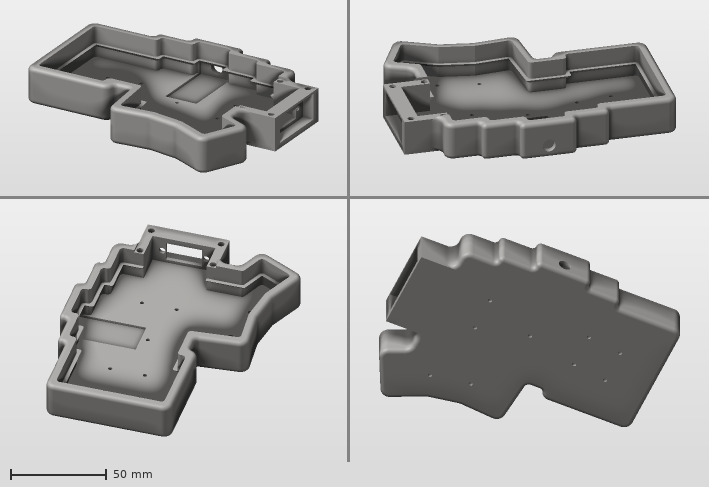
import cadquery as cq
import math

length = 145.4
height = 20.6
ledge_width = 2.0
rim_width = 5.0
wall = ledge_width + rim_width
floor_z = 3.0
ledge_z = 11.0
edge_round = 2.3

large_radius = 5.0
step_outer_radius = 2.5
step_inner_radius = 2.0
notch_radius = 2.5
rim_radius = ledge_width
shelf_inner_radius = 1.3
slight_bend = math.radians(20)

key_pitch = 19.0
screw_diameter = 2.2
insert_diameter = 3.6
insert_depth = 7.3

cavity_right = 112.0
row_y = 55.2
step_y = 59.9
tab_y = 64.8
notch_y = 5.0
notch_x = 35.9
tab_left = 3 * key_pitch
tab_right = 73.8
step_left = 2 * key_pitch
step_right = 93.3

cavity_corners = [
    (0, 0, large_radius),
    (0, row_y, large_radius),
    (step_left, row_y, step_inner_radius),
    (step_left, step_y, step_outer_radius),
    (tab_left, step_y, step_inner_radius),
    (tab_left, tab_y, step_outer_radius),
    (tab_right, tab_y, step_outer_radius),
    (tab_right, step_y, step_inner_radius),
    (step_right, step_y, step_outer_radius),
    (step_right, row_y, step_inner_radius),
    (cavity_right, row_y, large_radius),
    (cavity_right, -11.3, large_radius),
    (124.7, -17.2, large_radius),
    (117.2, -32.4, large_radius),
    (100.6, -24.5, large_radius),
    (81.3, -21.2, large_radius),
    (63.0, -22.7, large_radius),
    (60.5, notch_y, notch_radius),
    (notch_x, notch_y, notch_radius),
    (notch_x, 0, large_radius),
]
cavity_points = [(x, y) for x, y, _ in cavity_corners]
outer_radii = [radius for _, _, radius in cavity_corners]
block_root_index = 11
notch_index = 18
notch_bend_x = 43.2
notch_slope = math.radians(70)

block_left = cavity_right + ledge_width
block_right = length - wall
block_front = 4.8
block_back = 49.9
block_height = 19.2
block_middle_y = (block_front + block_back) / 2
flare_radius = 4.8
pocket_width = 34.6
pocket_right = 130.0
block_inserts = [(116.6, 20.0), (134.0, 19.2)]

window_width = 19.8
window_bottom = 5.0
window_top = 16.0
window_z = (window_bottom + window_top) / 2
window_wall = 2.0
flange_screw_offset = 12.0

recess_depth = 1.5
recess_front = 31.3
bay_wall = 3.2
bay_back = tab_y + wall - bay_wall
cable_hole_diameter = 7.0
cable_hole_z = 7.0
middle_x = (tab_left + tab_right) / 2
screw_points = [
    (17.9, 36.9), (17.9, 36.9 - key_pitch),
    (36.9, 39.4), (36.9, 39.4 - key_pitch),
    (94.0, 39.4), (94.0, 39.4 - key_pitch),
    (middle_x, 27.5), (81.3, -13.4), (103.0, -17.2),
]


def turn(points, i):
    """Signed turn at corner i, negative where a clockwise outline is convex."""
    before, corner, after = points[i - 1], points[i], points[(i + 1) % len(points)]
    heading_in = math.atan2(corner[1] - before[1], corner[0] - before[0])
    heading_out = math.atan2(after[1] - corner[1], after[0] - corner[0])
    return math.remainder(heading_out - heading_in, 2 * math.pi)


def offset_points(points, distance):
    """Move every side of a clockwise outline outward, keeping sharp corners."""
    moved = []
    for i, (x, y) in enumerate(points):
        before = points[i - 1]
        half_turn = turn(points, i) / 2
        outward = math.atan2(y - before[1], x - before[0]) + math.pi / 2 + half_turn
        reach = distance / math.cos(half_turn)
        moved.append((x + reach * math.cos(outward), y + reach * math.sin(outward)))
    return moved


def rounded_outline(points, radii, base_z):
    """Closed wire through the points with each corner rounded by its own radius."""
    path = cq.Workplane("XY").workplane(offset=base_z)
    started = False
    for i, (x, y) in enumerate(points):
        before, after = points[i - 1], points[(i + 1) % len(points)]
        bend = turn(points, i)
        setback = radii[i] * math.tan(abs(bend) / 2)
        heading_in = math.atan2(y - before[1], x - before[0])
        heading_out = math.atan2(after[1] - y, after[0] - x)
        arc_start = (x - setback * math.cos(heading_in), y - setback * math.sin(heading_in))
        arc_end = (x + setback * math.cos(heading_out), y + setback * math.sin(heading_out))
        path = path.lineTo(*arc_start) if started else path.moveTo(*arc_start)
        started = True
        if radii[i] > 0:
            bulge = radii[i] * (1 / math.cos(bend / 2) - 1)
            toward_center = heading_in + bend / 2 + math.copysign(math.pi / 2, bend)
            arc_middle = (x + bulge * math.cos(toward_center), y + bulge * math.sin(toward_center))
            path = path.threePointArc(arc_middle, arc_end)
    return path.close()


def box(x_range, y_range, z_range):
    sizes = [high - low for low, high in (x_range, y_range, z_range)]
    corner = (x_range[0], y_range[0], z_range[0])
    return cq.Workplane("XY").box(*sizes, centered=False).translate(corner)


def outer_body():
    points = offset_points(cavity_points, wall)
    radii = list(outer_radii)
    lean = notch_y / math.tan(notch_slope)
    points[notch_index] = (notch_bend_x + lean, notch_y - wall)
    points[notch_index + 1] = (notch_bend_x, -wall)
    wall_x = cavity_right + wall
    flare_x = wall_x + large_radius + step_outer_radius
    root = [(wall_x, block_back), (flare_x, block_back), (flare_x, block_front), (wall_x, block_front)]
    root_radii = [flare_radius, step_outer_radius, step_outer_radius, flare_radius]
    points[block_root_index:block_root_index] = root
    radii[block_root_index:block_root_index] = root_radii
    body = rounded_outline(points, radii, 0).extrude(height)
    return body.faces("<Z or >Z").edges().fillet(edge_round)


def cavity_outline(offset, convex_radius, concave_radius, base_z):
    points = offset_points(cavity_points, offset)
    radii = []
    for i in range(len(points)):
        bend = turn(points, i)
        if abs(bend) < slight_bend:
            radii.append(0)
        else:
            radii.append(convex_radius if bend < 0 else concave_radius)
    return rounded_outline(points, radii, base_z)


def plate_shelf():
    """Shelf around the cavity whose underside slopes back to the wall at 45 degrees."""
    shelf_bottom = ledge_z - ledge_width
    ring = cavity_outline(ledge_width, rim_radius, rim_radius, shelf_bottom).extrude(ledge_width)
    opening = cavity_outline(0, 0, shelf_inner_radius, ledge_z).extrude(-ledge_width, taper=-45)
    return ring.cut(opening)


def connector_block(body):
    y_range = (block_front, block_back)
    above = box((block_left, block_right), y_range, (block_height, height))
    block = box((block_left, block_right), y_range, (0, block_height))
    return body.cut(above).union(block)


def connector_cutouts():
    """Pocket open to the cavity, stepped window, flange screws and insert holes."""
    pocket_y = (block_middle_y - pocket_width / 2, block_middle_y + pocket_width / 2)
    window_y = (block_middle_y - window_width / 2, block_middle_y + window_width / 2)
    flange_half_height = window_z - floor_z
    cutouts = box((cavity_right - ledge_width, pocket_right), pocket_y, (floor_z, height))
    cutouts = cutouts.union(box((pocket_right, block_right), window_y, (window_bottom, window_top)))
    flange_x = (pocket_right + window_wall, block_right)
    cutouts = cutouts.union(box(flange_x, pocket_y, (floor_z, window_z + flange_half_height)))
    for side in (-1, 1):
        flange_screw = (
            cq.Workplane("YZ", origin=(pocket_right, 0, 0))
            .center(block_middle_y + side * flange_screw_offset, window_z)
            .circle(insert_diameter / 2)
            .extrude(window_wall)
        )
        cutouts = cutouts.union(flange_screw)
        inserts = (
            cq.Workplane("XY", origin=(0, 0, block_height - insert_depth))
            .pushPoints([(x, block_middle_y + side * y) for x, y in block_inserts])
            .circle(insert_diameter / 2)
            .extrude(insert_depth)
        )
        cutouts = cutouts.union(inserts)
    return cutouts


def controller_recess():
    """Bay one key wide, sunk into the floor and into the tab wall under the shelf."""
    half_width = key_pitch / 2
    x_range = (middle_x - half_width, middle_x + half_width)
    bottom = floor_z - recess_depth
    floor_recess = box(x_range, (recess_front, bay_back), (bottom, floor_z))
    wall_recess = box(x_range, (tab_y, bay_back), (bottom, ledge_z - ledge_width))
    return floor_recess.union(wall_recess)


def cable_hole():
    return (
        cq.Workplane("XZ", origin=(middle_x, tab_y + ledge_width, cable_hole_z))
        .circle(cable_hole_diameter / 2)
        .extrude(-2 * wall)
    )


def floor_screws():
    return cq.Workplane("XY").pushPoints(screw_points).circle(screw_diameter / 2).extrude(floor_z)


result = connector_block(outer_body())
result = result.cut(cavity_outline(ledge_width, rim_radius, rim_radius, floor_z).extrude(height - floor_z))
result = result.union(plate_shelf())
result = result.cut(controller_recess())
result = result.cut(connector_cutouts())
result = result.cut(cable_hole())
result = result.cut(floor_screws())